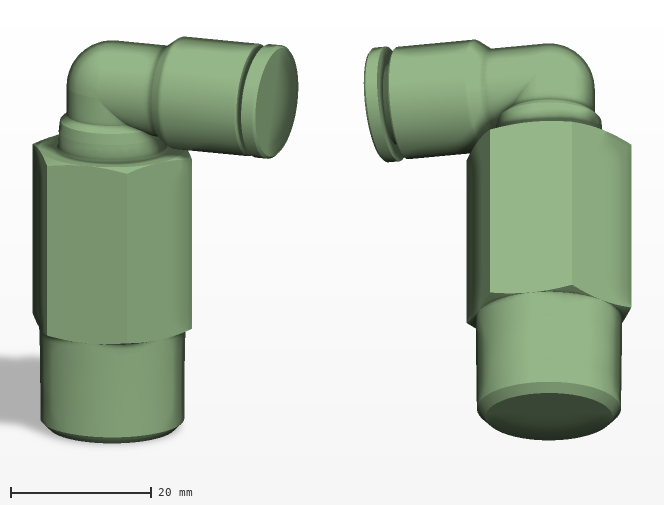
import cadquery as cq
import math

total_height = 58.45
total_right = 25.0

thread_height = 15.0
thread_bottom_radius = 10.3
thread_top_radius = 10.45
thread_chamfer = 1.2

hex_across_flats = 21.0
hex_top = 41.25
hex_corner_drop = 0.6

collar_base_radius = 7.7
collar_mid_radius = 7.65
collar_top_radius = 7.5
collar_mid_height = 2.5
collar_height = 4.1
collar_cone_height = 0.95
collar_fillet = 0.4

elbow_radius = 6.55
socket_radius = 8.05
cone_start = 8.0
cone_end = 10.05
cone_fillet = 1.0
socket_end = 21.75
socket_end_chamfer = 0.25

button_neck_radius = 5.85
button_start = 23.0
button_half_width = 9.25
button_chamfer = 0.35

hex_corner_radius = hex_across_flats / math.sqrt(3)
hex_flat_radius = hex_across_flats / 2
arm_height = total_height - socket_radius


def make_thread():
    """Tapered plug with a chamfered lower rim."""
    profile = [
        (0, 0),
        (thread_bottom_radius - thread_chamfer, 0),
        (thread_bottom_radius, thread_chamfer),
        (thread_top_radius, thread_height),
        (0, thread_height),
    ]
    return cq.Workplane("XZ").polyline(profile).close().revolve(360, (0, 0), (0, 1))


def make_hexagon():
    """Hexagonal prism with its corners turned off conically at both ends."""
    prism = (
        cq.Workplane("XY")
        .workplane(offset=thread_height)
        .polygon(6, 2 * hex_corner_radius)
        .extrude(hex_top - thread_height)
    )
    turned_profile = [
        (0, thread_height),
        (hex_flat_radius, thread_height),
        (hex_corner_radius, thread_height + hex_corner_drop),
        (hex_corner_radius, hex_top - hex_corner_drop),
        (hex_flat_radius, hex_top),
        (0, hex_top),
    ]
    turned = cq.Workplane("XZ").polyline(turned_profile).close().revolve(360, (0, 0), (0, 1))
    return prism.intersect(turned)


def make_collar():
    """Stepped collar, flared into the hexagon and coned up to the elbow."""
    cone_bottom = hex_top + collar_height
    return (
        cq.Workplane("XZ")
        .moveTo(0, hex_top)
        .lineTo(collar_base_radius + collar_fillet, hex_top)
        .radiusArc((collar_base_radius, hex_top + collar_fillet), collar_fillet)
        .lineTo(collar_mid_radius, hex_top + collar_mid_height)
        .lineTo(collar_top_radius, cone_bottom)
        .lineTo(elbow_radius, cone_bottom + collar_cone_height)
        .lineTo(0, cone_bottom + collar_cone_height)
        .close()
        .revolve(360, (0, 0), (0, 1))
    )


def make_elbow():
    """Upright pipe ending in a ball at the height of the horizontal arm."""
    pipe = cq.Workplane("XY").workplane(offset=hex_top).circle(elbow_radius).extrude(arm_height - hex_top)
    ball = cq.Workplane("XY").sphere(elbow_radius).translate((0, 0, arm_height))
    return pipe.union(ball)


def make_arm():
    """Horizontal pipe that widens through a blended cone into the socket."""
    cone_angle = math.atan2(socket_radius - elbow_radius, cone_end - cone_start)
    tangent = cone_fillet * math.tan(cone_angle / 2)
    tangent_x = tangent * math.cos(cone_angle)
    tangent_r = tangent * math.sin(cone_angle)
    return (
        cq.Workplane("XY")
        .moveTo(0, 0)
        .lineTo(0, elbow_radius)
        .lineTo(cone_start - tangent, elbow_radius)
        .radiusArc((cone_start + tangent_x, elbow_radius + tangent_r), -cone_fillet)
        .lineTo(cone_end - tangent_x, socket_radius - tangent_r)
        .radiusArc((cone_end + tangent, socket_radius), cone_fillet)
        .lineTo(socket_end - socket_end_chamfer, socket_radius)
        .lineTo(socket_end, socket_radius - socket_end_chamfer)
        .lineTo(socket_end, button_neck_radius)
        .lineTo(button_start, button_neck_radius)
        .lineTo(button_start, 0)
        .close()
        .revolve(360, (0, 0), (1, 0))
        .translate((0, 0, arm_height))
    )


def make_button():
    """Elliptical flange, wider in Y than in Z, chamfered on its outer face."""
    return (
        cq.Workplane("YZ", origin=(button_start, 0, arm_height))
        .ellipse(button_half_width, socket_radius)
        .extrude(total_right - button_start)
        .faces(">X")
        .chamfer(button_chamfer)
    )


result = (
    make_thread()
    .union(make_hexagon())
    .union(make_collar())
    .union(make_elbow())
    .union(make_arm())
    .union(make_button())
)